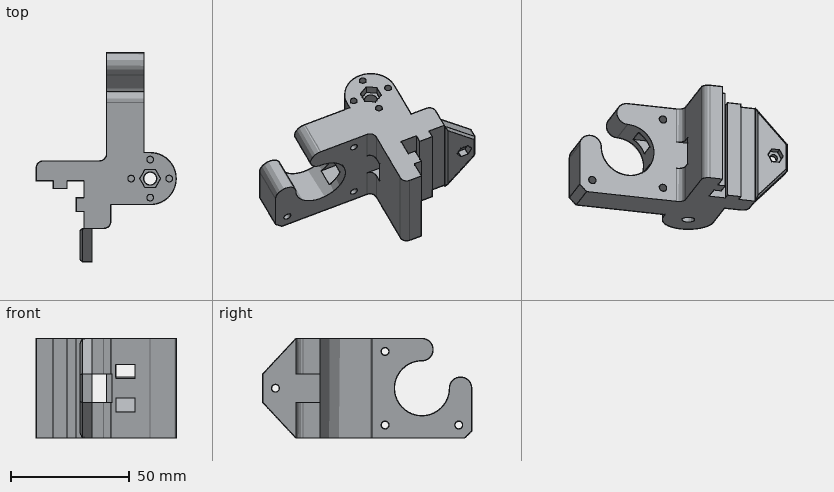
import cadquery as cq
import math

height = 42.0
mid_z = height / 2
corner_radius = 3.0

seat_size = 20.1
arm_thickness = 8.45
leg_thickness = 11.35
key_width = 5.9
key_depth = 3.3

boss_radius = 11.0
boss_x = 27.9
boss_y = 1.0
boss_front = boss_y - boss_radius
boss_back = boss_y + boss_radius
boss_bore = 5.4
boss_nut_corners = 8.8
boss_nut_depth = 4.0
pin_diameter = 2.8
pin_circle_radius = 8.0
pin_depth = 5.3

hook_x = 9.5
hook_thickness = 15.8
hook_center_y = boss_back + mid_z
hook_bore_radius = 11.5
hook_chamfer = 3.0
hook_tip_radius = (mid_z - hook_bore_radius) / 2
hook_tip_offset = hook_bore_radius + hook_tip_radius
mount_spacing = 31.0
mount_diameter = 3.2

strap_width = 8.0
strap_height = 5.9
strap_spacing = 14.0

tab_end_y = hook_center_y + mid_z - 88
tab_tip_height = 12.0
tab_bevel_depth = 1.1
tab_bevel_width = 0.9
tab_left = -1.7
tab_right = 3.5
tab_hole_y = -28.7
tab_hole_diameter = 3.2
tab_nut_corners = 6.6
tab_nut_depth = 3.0

window_height = 11.9
window_right = 11.9
window_step_y = 0.0


def box(x0, x1, y0, y1, z0, z1):
    """Box given by its limits along each axis."""
    return cq.Workplane("XY").box(x1 - x0, y1 - y0, z1 - z0, centered=False).translate((x0, y0, z0))


def make_body():
    key_near = (seat_size - key_width) / 2
    key_far = key_near + key_width
    body = (
        cq.Workplane("XY")
        .moveTo(0, 0)
        .lineTo(-key_near, 0)
        .lineTo(-key_near, -key_depth)
        .lineTo(-key_far, -key_depth)
        .lineTo(-key_far, 0)
        .lineTo(-seat_size, 0)
        .lineTo(-seat_size, arm_thickness)
        .lineTo(hook_x, arm_thickness)
        .lineTo(hook_x, boss_back)
        .lineTo(boss_x, boss_back)
        .threePointArc((boss_x + boss_radius, boss_y), (boss_x, boss_front))
        .lineTo(leg_thickness, boss_front)
        .lineTo(leg_thickness, -seat_size)
        .lineTo(0, -seat_size)
        .lineTo(0, -key_far)
        .lineTo(-key_depth, -key_far)
        .lineTo(-key_depth, -key_near)
        .lineTo(0, -key_near)
        .close()
        .extrude(height)
    )
    rounded_corners = [
        (-seat_size, arm_thickness),
        (hook_x, arm_thickness),
        (leg_thickness, -seat_size),
    ]
    for x, y in rounded_corners:
        corner = cq.selectors.NearestToPointSelector((x, y, mid_z))
        body = body.edges(corner).fillet(corner_radius)
    return body


def make_hook():
    """Plate in the YZ plane: a square with a bore and two round hook tips."""
    rear_y = hook_center_y + mid_z
    diagonal = math.sqrt(0.5)
    upper_tip_z = mid_z + hook_tip_offset
    rear_tip_y = hook_center_y + hook_tip_offset
    plate = (
        cq.Workplane("YZ")
        .moveTo(boss_back, 0)
        .lineTo(rear_y - hook_chamfer, 0)
        .lineTo(rear_y, hook_chamfer)
        .lineTo(rear_y, mid_z)
        .threePointArc((rear_tip_y, mid_z + hook_tip_radius), (hook_center_y + hook_bore_radius, mid_z))
        .threePointArc(
            (hook_center_y - hook_bore_radius * diagonal, mid_z - hook_bore_radius * diagonal),
            (hook_center_y, mid_z + hook_bore_radius),
        )
        .threePointArc((hook_center_y + hook_tip_radius, upper_tip_z), (hook_center_y, height))
        .lineTo(boss_back, height)
        .close()
        .extrude(hook_thickness)
    )
    half = mount_spacing / 2
    mounts = [
        (hook_center_y - half, mid_z - half),
        (hook_center_y + half, mid_z - half),
        (hook_center_y - half, mid_z + half),
    ]
    holes = cq.Workplane("YZ").pushPoints(mounts).circle(mount_diameter / 2).extrude(hook_thickness)
    return plate.cut(holes).translate((hook_x, 0, 0))


def make_tab():
    bevel_x = tab_left + tab_bevel_depth
    outline = [
        (-seat_size, 0),
        (tab_end_y, mid_z - tab_tip_height / 2),
        (tab_end_y, mid_z + tab_tip_height / 2),
        (-seat_size, height),
    ]
    plate = cq.Workplane("YZ", origin=(bevel_x, 0, 0)).polyline(outline).close().extrude(tab_right - bevel_x)
    taper = math.degrees(math.atan2(tab_bevel_width, tab_bevel_depth))
    bevel = (
        cq.Workplane("YZ", origin=(bevel_x, 0, 0))
        .polyline(outline)
        .close()
        .extrude(-tab_bevel_depth, taper=taper)
    )
    hole_start = cq.Workplane("YZ", origin=(tab_left, tab_hole_y, mid_z))
    hole = hole_start.circle(tab_hole_diameter / 2).extrude(tab_right - tab_left)
    nut = hole_start.polygon(6, tab_nut_corners).extrude(tab_nut_depth)
    return plate.union(bevel).cut(hole).cut(nut)


def cut_boss_holes(part):
    top = cq.Workplane("XY", origin=(boss_x, boss_y, height))
    bore = top.circle(boss_bore / 2).extrude(-height)
    nut = top.polygon(6, boss_nut_corners).extrude(-boss_nut_depth)
    pins = top.polarArray(pin_circle_radius, 0, 360, 4).circle(pin_diameter / 2).extrude(-pin_depth)
    return part.cut(bore).cut(nut).cut(pins)


def cut_strap_slots(part):
    center_x = hook_x + hook_thickness / 2
    for side in (-1, 1):
        center_z = mid_z + side * strap_spacing / 2
        slot = box(
            center_x - strap_width / 2, center_x + strap_width / 2,
            boss_front, hook_center_y,
            center_z - strap_height / 2, center_z + strap_height / 2,
        )
        part = part.cut(slot)
    return part


def cut_window(part):
    bottom = mid_z - window_height / 2
    top = mid_z + window_height / 2
    passage = box(tab_right, hook_x, -seat_size, boss_back, bottom, top)
    step = box(hook_x, window_right, -seat_size, window_step_y, bottom, top)
    return part.cut(passage).cut(step)


result = make_body().union(make_hook()).union(make_tab())
result = cut_boss_holes(result)
result = cut_strap_slots(result)
result = cut_window(result)